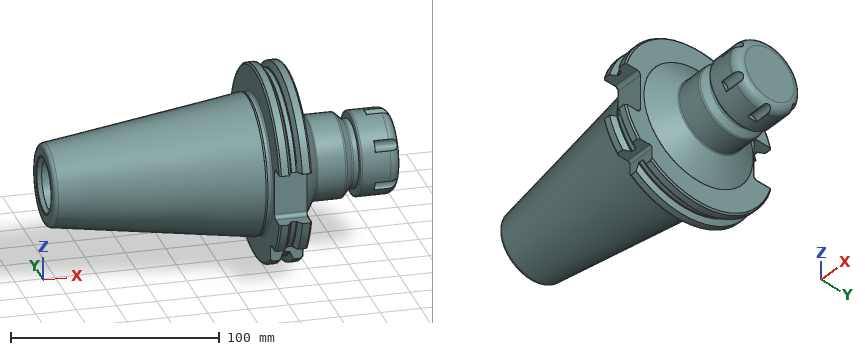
import cadquery as cq
import math

total_length = 171.6
edge_tolerance = 0.02

gauge_radius = 35.0
gauge_x = 101.0
taper_slope = 7 / 48
taper_small_radius = gauge_radius - taper_slope * gauge_x
taper_end_round = 2.4
relief_radius = 34.5
relief_start = 102.1
relief_root_round = 0.9

flange_radius = 48.7
flange_start = 104.7
flange_width = 16.0
flange_end = flange_start + flange_width
flange_edge = 0.9
groove_centre = 112.5
groove_bottom_radius = 45.5
groove_bottom_width = 3.0
groove_half_angle = 30
groove_root_round = 0.5
groove_depth = flange_radius - groove_bottom_radius
groove_flank = groove_depth * math.tan(math.radians(groove_half_angle))

drive_slot_width = 25.7
far_slot_floor = 35.5
near_slot_floor = 37.4
corner_notch_floor = 29.9
drive_slot_round = 2.0
corner_notch_round = 1.5
notch_clearance = 1.7

front_cone_radius = 35.0
body_radius = 21.0
front_cone_end = 129.9
front_cone_round = 0.9
neck_radius = 17.0
body_end = 144.7
neck_start = body_end + body_radius - neck_radius
neck_round = 1.4

mouth_radius = 14.5
mouth_depth = 0.3
centre_radius = 13.7
centre_half_angle = 30
pilot_radius = 12.5
pilot_end = 7.0
middle_radius = 12.0
middle_end = 10.6
shoulder_radius = 11.7
shoulder_start = 11.3
thread_radius = 10.3
thread_end = 51.5
drill_point_angle = 118

nut_start = 151.7
nut_radius = 21.0
nut_rear_round = 0.9
nut_front_round = 5.1
nut_slot_count = 6
nut_slot_start = 159.2
nut_slot_cutter_radius = 3.0
nut_slot_floor_radius = 18.5


def revolve_about_x(points):
    """Solid of revolution about X from (x, radius) points."""
    return cq.Workplane("XY").polyline(points).close().revolve(360, (0, 0, 0), (1, 0, 0))


def make_shank():
    """Taper, relief groove, flange, front cone, body and neck in one profile."""
    half_bottom = groove_bottom_width / 2
    half_top = half_bottom + groove_flank
    rim = flange_radius - flange_edge
    return revolve_about_x([
        (0, 0),
        (0, taper_small_radius),
        (gauge_x, gauge_radius),
        (relief_start, relief_radius),
        (flange_start, relief_radius),
        (flange_start, rim),
        (flange_start + flange_edge, flange_radius),
        (groove_centre - half_top, flange_radius),
        (groove_centre - half_bottom, groove_bottom_radius),
        (groove_centre + half_bottom, groove_bottom_radius),
        (groove_centre + half_top, flange_radius),
        (flange_end - flange_edge, flange_radius),
        (flange_end, rim),
        (flange_end, front_cone_radius),
        (front_cone_end, body_radius),
        (body_end, body_radius),
        (neck_start, neck_radius),
        (nut_start, neck_radius),
        (nut_start, 0),
    ])


def circle_box(x, radius):
    """Selector for edges that lie wholly within a thin square slab at X."""
    return cq.selectors.BoxSelector(
        (x - edge_tolerance, -radius, -radius),
        (x + edge_tolerance, radius, radius),
        boundingbox=True,
    )


def round_circle(solid, x, radius, size):
    """Fillet the circular edge that has the given X and radius."""
    circle = circle_box(x, radius + edge_tolerance) - circle_box(x, radius - edge_tolerance)
    return solid.edges(circle).fillet(size)


def make_bore():
    """Cutter for the stepped drawbar bore: centring cone, pilot, thread hole and drill point."""
    centre_depth = (centre_radius - pilot_radius) / math.tan(math.radians(centre_half_angle))
    pilot_step = pilot_radius - middle_radius
    shoulder_step = shoulder_radius - thread_radius
    point_depth = thread_radius / math.tan(math.radians(drill_point_angle / 2))
    return revolve_about_x([
        (0, 0),
        (0, mouth_radius),
        (mouth_depth, centre_radius),
        (mouth_depth + centre_depth, pilot_radius),
        (pilot_end, pilot_radius),
        (pilot_end + pilot_step, middle_radius),
        (middle_end, middle_radius),
        (shoulder_start, shoulder_radius),
        (shoulder_start + shoulder_step, thread_radius),
        (thread_end, thread_radius),
        (thread_end + point_depth, 0),
    ])


def make_notch(y_floor, y_outer, z_low, z_high, corner_round):
    """Cutter across the flange width with rounded floor corners."""
    floor_side = "<Y" if y_outer > y_floor else ">Y"
    return (
        cq.Workplane("XY")
        .box(flange_width, abs(y_outer - y_floor), z_high - z_low)
        .translate((flange_start + flange_width / 2, (y_floor + y_outer) / 2, (z_low + z_high) / 2))
        .faces(floor_side).edges("|X").fillet(corner_round)
    )


def make_holder():
    """Body 1: taper shank, flange and front neck."""
    holder = make_shank()
    holder = round_circle(holder, 0, taper_small_radius, taper_end_round)
    holder = round_circle(holder, flange_start, relief_radius, relief_root_round)
    for side in (-1, 1):
        root_x = groove_centre + side * groove_bottom_width / 2
        holder = round_circle(holder, root_x, groove_bottom_radius, groove_root_round)
    holder = round_circle(holder, front_cone_end, body_radius, front_cone_round)
    holder = round_circle(holder, body_end, body_radius, neck_round)
    holder = round_circle(holder, neck_start, neck_radius, neck_round)
    holder = holder.cut(make_bore())

    half_slot = drive_slot_width / 2
    beyond = flange_radius + notch_clearance
    holder = holder.cut(make_notch(far_slot_floor, beyond, -half_slot, half_slot, drive_slot_round))
    holder = holder.cut(make_notch(-near_slot_floor, -beyond, -half_slot, half_slot, drive_slot_round))
    corner_notch = make_notch(-corner_notch_floor, -beyond, -beyond, -corner_notch_floor, corner_notch_round)
    return holder.cut(corner_notch)


def make_nut():
    """Body 2: clamping nut with spanner slots, seated on the end of the neck."""
    nut = cq.Workplane("YZ", origin=(nut_start, 0, 0)).circle(nut_radius).extrude(total_length - nut_start)
    nut = nut.faces("<X").edges().fillet(nut_rear_round)
    nut = nut.faces(">X").edges().fillet(nut_front_round)

    cutter_offset = nut_slot_floor_radius + nut_slot_cutter_radius
    slot = (
        cq.Workplane("YZ", origin=(nut_slot_start, 0, cutter_offset))
        .circle(nut_slot_cutter_radius)
        .extrude(total_length - nut_slot_start)
    )
    for i in range(nut_slot_count):
        nut = nut.cut(slot.rotate((0, 0, 0), (1, 0, 0), i * 360 / nut_slot_count))
    return nut


holder = make_holder()
nut = make_nut()
result = cq.Compound.makeCompound([holder.val(), nut.val()])